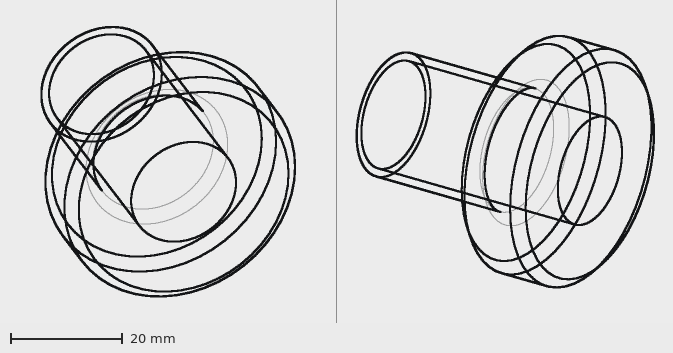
import cadquery as cq

total_length = 43.0
flange_thickness = 14.0
tube_length = total_length - flange_thickness

bore_diameter = 20.0
tube_diameter = 23.0
flange_diameter = 44.0

flange_chamfer = 2.0
root_fillet = 2.0


def cylinder(start_x, length, diameter):
    """Solid cylinder on the X axis, from start_x towards +X."""
    return (
        cq.Workplane("YZ", origin=(start_x, 0, 0))
        .circle(diameter / 2)
        .extrude(length)
    )


def flange():
    """Disc with both outer rims chamfered."""
    disc = cylinder(tube_length, flange_thickness, flange_diameter)
    return disc.edges("%CIRCLE").chamfer(flange_chamfer)


def tube_root_fillet():
    """Concave ring blending the tube into the flange face."""
    tube_radius = tube_diameter / 2
    fillet_start = tube_length - root_fillet
    fillet_top = tube_radius + root_fillet
    middle_offset = root_fillet * (1 - 0.5 ** 0.5)
    return (
        cq.Workplane("XY")
        .moveTo(fillet_start, tube_radius)
        .threePointArc(
            (tube_length - middle_offset, tube_radius + middle_offset),
            (tube_length, fillet_top),
        )
        .lineTo(tube_length, 0)
        .lineTo(fillet_start, 0)
        .close()
        .revolve(360, (0, 0, 0), (1, 0, 0))
    )


tube = cylinder(0, tube_length, tube_diameter)
body = tube.union(flange()).union(tube_root_fillet())

result = body.cut(cylinder(0, total_length, bore_diameter))